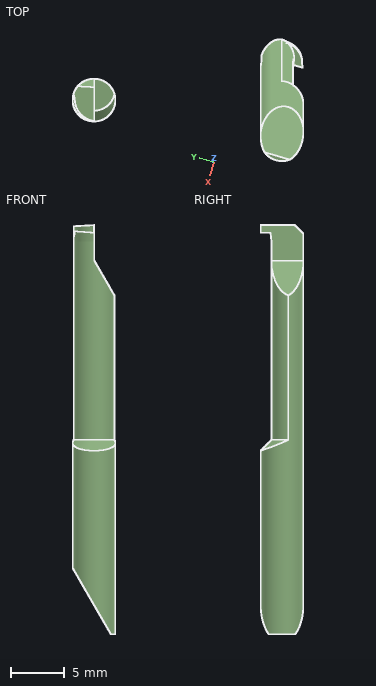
import cadquery as cq
import math

length = 38.0
shank_radius = 1.995
oversize = 7.6

bottom_land_x = 1.55
slant_angle = 30.0

flat_x = 0.05
flat_depth = 3.3

neck_radius = 1.95
neck_center_y = 0.95
neck_start_depth = 1.52
neck_end_depth = 19.95
head_cone_growth = 0.1
shoulder_size = 1.15

tooth_height = 0.72
tooth_drop = 0.1
tooth_rise = 0.15
back_chamfer_width = 0.8
relief_start_y = 0.6
flank_start = (-1.75, -0.3)
flank_middle = (-1.18, -1.35)
flank_end = (-0.2, -1.9)

slant_slope = 1 / math.tan(math.radians(slant_angle))
tooth_underside = length - tooth_height


def circle_x(y):
    """Distance in X from the shank axis to its surface at the given Y."""
    return math.sqrt(shank_radius**2 - y**2)


def xz_prism(points):
    """Profile in X and Z, extruded across the whole part in Y."""
    return cq.Workplane("XZ").polyline(points).close().extrude(oversize, both=True)


def make_shank():
    return cq.Workplane("XY").circle(shank_radius).extrude(length)


def make_bottom_cut():
    cut_height = (bottom_land_x + oversize) * slant_slope
    return xz_prism([(bottom_land_x, 0), (-oversize, 0), (-oversize, cut_height)])


def make_flat_cut():
    """Cutting-face flat with its slanted run-out towards the +X side."""
    flat_end_z = length - flat_depth
    runout_end_z = flat_end_z - (oversize - flat_x) * slant_slope
    return xz_prism([
        (flat_x, length + oversize),
        (flat_x, flat_end_z),
        (oversize, runout_end_z),
        (oversize, length + oversize),
    ])


def make_top_cut():
    """Slightly sloping top face."""
    return xz_prism([
        (flat_x, length),
        (-shank_radius, length - tooth_drop),
        (-shank_radius, length + oversize),
        (flat_x, length + oversize),
    ])


def make_back_chamfer_cut():
    edge_y = shank_radius - back_chamfer_width
    return (
        cq.Workplane("YZ")
        .polyline([(edge_y, length), (shank_radius, length), (shank_radius, length - back_chamfer_width)])
        .close()
        .extrude(oversize, both=True)
    )


def make_head_relief_cut():
    """Material outside the relieved side and curved flank, above the shoulder."""
    return (
        cq.Workplane("XY", origin=(0, 0, length - neck_end_depth))
        .moveTo(-circle_x(relief_start_y), relief_start_y)
        .lineTo(*flank_start)
        .threePointArc(flank_middle, flank_end)
        .lineTo(0, -shank_radius)
        .lineTo(0, -oversize)
        .lineTo(-oversize, -oversize)
        .lineTo(-oversize, relief_start_y)
        .close()
        .extrude(neck_end_depth)
    )


def make_neck_cut():
    """Material around the neck: conical shoulder, cylinder and cone under the tooth."""
    neck_start_z = length - neck_start_depth
    neck_end_z = length - neck_end_depth
    shoulder_z = neck_end_z - shoulder_size
    core = (
        cq.Workplane("XZ")
        .polyline([
            (0, shoulder_z),
            (neck_radius + shoulder_size, shoulder_z),
            (neck_radius, neck_end_z),
            (neck_radius, neck_start_z),
            (neck_radius + head_cone_growth, tooth_underside + tooth_rise),
            (0, tooth_underside + tooth_rise),
        ])
        .close()
        .revolve(360, (0, 0, 0), (0, 1, 0))
        .translate((0, neck_center_y, 0))
    )
    surround = (
        xz_prism([
            (-oversize, shoulder_z),
            (oversize, shoulder_z),
            (oversize, tooth_underside),
            (flat_x, tooth_underside),
            (-shank_radius, tooth_underside + tooth_rise),
            (-oversize, tooth_underside + tooth_rise),
        ])
    )
    front_side = (
        cq.Workplane("XY")
        .box(2 * oversize, oversize, length, centered=(True, False, False))
        .translate((0, relief_start_y - oversize, 0))
    )
    return surround.intersect(front_side).cut(core)


result = (
    make_shank()
    .cut(make_bottom_cut())
    .cut(make_head_relief_cut())
    .cut(make_neck_cut())
    .cut(make_flat_cut())
    .cut(make_top_cut())
    .cut(make_back_chamfer_cut())
)